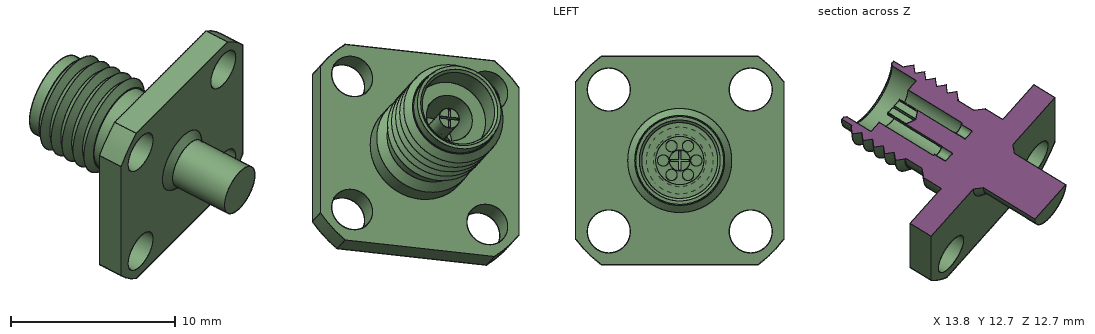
import cadquery as cq

overall_length = 13.84
thread_start = 0.76
thread_pitch = 0.82
thread_count = 5
shoulder_start = 6.08
shoulder_bevel = 0.5
flange_front = 7.89
flange_back = 9.51

neck_radius = 2.67
thread_root_radius = 2.74
crest_radius = 3.17
tail_radius = 1.59
tail_collar = 0.44

flange_side = 12.7
flange_corner_radius = 7.95
screw_hole_radius = 1.3
screw_hole_spacing = 8.64

bore_radius = 2.31
bore_mouth_chamfer = 0.15
bore_depth = 1.97
recess_radius = 1.47
recess_end = shoulder_start

bead_hole_count = 6
bead_hole_radius = 0.35
bead_hole_circle_radius = 1.01
bead_hole_depth = 0.83

pin_radius = 0.64
slot_width = 0.14
slot_reach = 0.57
slot_depth = 1.38
slot_tip_length = 0.28


def cylinder_x(start, end, radius):
    """Solid cylinder on the X axis."""
    return cq.Workplane("YZ", origin=(start, 0, 0)).circle(radius).extrude(end - start)


def revolve_about_x(points):
    """Solid of revolution from (x, radius) points."""
    axis_start = (0, 0)
    axis_end = (1, 0)
    return cq.Workplane("XY").polyline(points).close().revolve(360, axis_start, axis_end)


def turned_body():
    """Mating sleeve with ring-shaped thread ridges, shoulder and rear tail, all solid."""
    points = [(0, 0), (0, neck_radius), (thread_start, neck_radius), (thread_start, thread_root_radius)]
    for turn in range(thread_count):
        start = thread_start + turn * thread_pitch
        points.append((start + thread_pitch / 2, crest_radius))
        points.append((start + thread_pitch, thread_root_radius))
    thread_end = thread_start + thread_count * thread_pitch
    points += [
        (thread_end, neck_radius),
        (shoulder_start, neck_radius),
        (shoulder_start + shoulder_bevel, crest_radius),
        (flange_back, crest_radius),
        (flange_back, tail_radius + tail_collar),
        (flange_back + tail_collar, tail_radius),
        (overall_length, tail_radius),
        (overall_length, 0),
    ]
    return revolve_about_x(points)


def flange():
    """Square plate whose corners are rounded off by a larger circle."""
    thickness = flange_back - flange_front
    plane = cq.Workplane("YZ", origin=(flange_front, 0, 0))
    plate = plane.rect(flange_side, flange_side).extrude(thickness)
    plate = plate.intersect(cylinder_x(flange_front, flange_back, flange_corner_radius))
    screw_holes = (
        plane.rect(screw_hole_spacing, screw_hole_spacing, forConstruction=True)
        .vertices()
        .circle(screw_hole_radius)
        .extrude(thickness)
    )
    return plate.cut(screw_holes)


def socket_cavity():
    """Chamfered bore and recess, with the centre pin left standing."""
    cavity = revolve_about_x([
        (0, 0),
        (0, bore_radius + bore_mouth_chamfer),
        (bore_mouth_chamfer, bore_radius),
        (bore_depth, bore_radius),
        (bore_depth, recess_radius),
        (recess_end, recess_radius),
        (recess_end, 0),
    ])
    return cavity.cut(cylinder_x(bore_depth, recess_end, pin_radius))


def bead_holes():
    """Ring of blind holes in the recess floor."""
    return (
        cq.Workplane("YZ", origin=(recess_end, 0, 0))
        .polarArray(bead_hole_circle_radius, 0, 360, bead_hole_count)
        .circle(bead_hole_radius)
        .extrude(bead_hole_depth)
    )


def pin_slot():
    """Cross-shaped pocket in the pin face, with rounded ends and a conical floor."""
    slot_floor = bore_depth + slot_depth
    tip = slot_floor + slot_tip_length
    envelope = revolve_about_x([
        (bore_depth, 0),
        (bore_depth, slot_reach),
        (slot_floor, slot_reach),
        (tip, 0),
    ])
    plane = cq.Workplane("YZ", origin=(bore_depth, 0, 0))
    across = plane.rect(2 * slot_reach, slot_width).extrude(tip - bore_depth)
    upright = plane.rect(slot_width, 2 * slot_reach).extrude(tip - bore_depth)
    return across.union(upright).intersect(envelope)


result = turned_body().union(flange()).cut(socket_cavity()).cut(bead_holes()).cut(pin_slot())